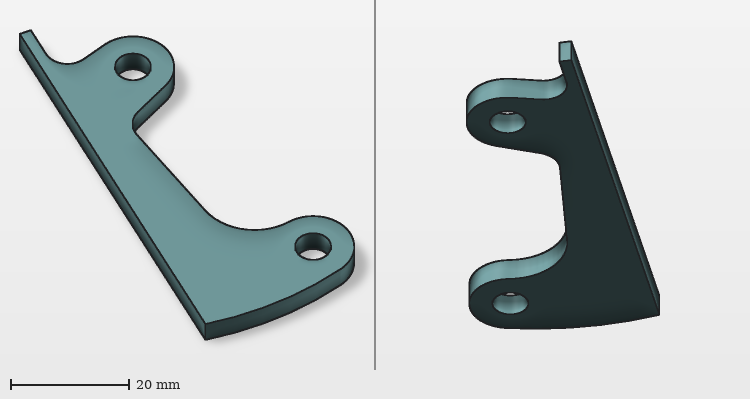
import cadquery as cq
import math

length = 74.1
thickness = 4.0
strip_height = 2.1

lug_radius = 7.0
hole_radius = 3.05
low_lug = (15.0, 14.1)
high_lug = (65.05, 24.0)

foot_radius = 4.0
foot_center = (6.0, strip_height + foot_radius)
valley_radius = 4.45
valley_center = (28.6, 12.45)
sweep_radius = 10.0
sweep_center_y = 21.0

edge_radius = 57.55


def point_on(center, radius, angle):
    return (center[0] + radius * math.cos(angle), center[1] + radius * math.sin(angle))


def direction(start, end):
    return math.atan2(end[1] - start[1], end[0] - start[0])


def crossing_tangent(start, start_radius, end, end_radius, side):
    """Tangent points of a line passing between two circles; side +1 starts left of travel."""
    spread = math.acos((start_radius + end_radius) / math.dist(start, end))
    angle = direction(start, end) + side * spread
    return point_on(start, start_radius, angle), point_on(end, end_radius, angle + math.pi)


def lower_tangent(start, start_radius, end, end_radius):
    """Tangent points of the line running below two circles, from left to right."""
    spread = math.acos((start_radius - end_radius) / math.dist(start, end))
    angle = direction(start, end) - spread
    return point_on(start, start_radius, angle), point_on(end, end_radius, angle)


def arc_middle(center, radius, start, end):
    """Middle of the shorter arc between two points on a circle."""
    middle = ((start[0] + end[0]) / 2, (start[1] + end[1]) / 2)
    return point_on(center, radius, direction(center, middle))


sweep_offset_y = high_lug[1] - sweep_center_y
sweep_offset_x = math.sqrt((sweep_radius + lug_radius) ** 2 - sweep_offset_y ** 2)
sweep_center = (high_lug[0] - sweep_offset_x, sweep_center_y)
sweep_end = point_on(sweep_center, sweep_radius, direction(sweep_center, high_lug))

edge_center_x = length - edge_radius
edge_offset_y = math.sqrt((edge_radius - lug_radius) ** 2 - (high_lug[0] - edge_center_x) ** 2)
edge_center = (edge_center_x, high_lug[1] - edge_offset_y)
edge_top = point_on(edge_center, edge_radius, direction(edge_center, high_lug))
edge_bottom = (edge_center_x + math.sqrt(edge_radius ** 2 - edge_center[1] ** 2), 0)

foot_start = (foot_center[0], strip_height)
foot_end, low_lug_start = crossing_tangent(foot_center, foot_radius, low_lug, lug_radius, -1)
low_lug_end, valley_start = crossing_tangent(low_lug, lug_radius, valley_center, valley_radius, 1)
valley_end, sweep_start = lower_tangent(valley_center, valley_radius, sweep_center, sweep_radius)

low_lug_top = (low_lug[0], low_lug[1] + lug_radius)
high_lug_top = (high_lug[0], high_lug[1] + lug_radius)

plate = (
    cq.Workplane("XY")
    .moveTo(0, 0)
    .lineTo(0, strip_height)
    .lineTo(*foot_start)
    .threePointArc(arc_middle(foot_center, foot_radius, foot_start, foot_end), foot_end)
    .lineTo(*low_lug_start)
    .threePointArc(low_lug_top, low_lug_end)
    .lineTo(*valley_start)
    .threePointArc(arc_middle(valley_center, valley_radius, valley_start, valley_end), valley_end)
    .lineTo(*sweep_start)
    .threePointArc(arc_middle(sweep_center, sweep_radius, sweep_start, sweep_end), sweep_end)
    .threePointArc(high_lug_top, edge_top)
    .threePointArc(arc_middle(edge_center, edge_radius, edge_top, edge_bottom), edge_bottom)
    .close()
    .extrude(thickness)
)

holes = (
    cq.Workplane("XY")
    .pushPoints([low_lug, high_lug])
    .circle(hole_radius)
    .extrude(thickness)
)

result = plate.cut(holes)